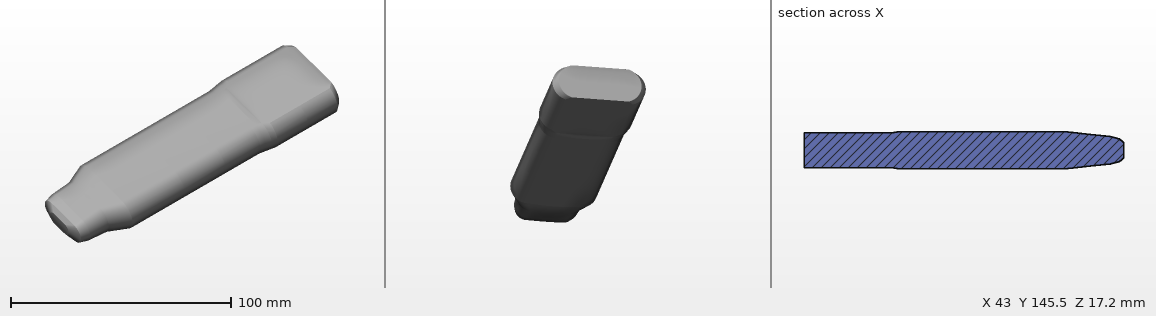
import cadquery as cq

length = 145.5

head_half_width = 21.5
head_half_flat = 15.5
head_half_height = 8.0
head_chamfer_length = 2.8
head_chamfer_width = 2.5
head_length = 37.0
head_seam = (head_chamfer_length + head_length) / 2

neck_start = 40.0
neck_start_half_width = 21.1
neck_start_half_flat = 13.1
neck_end = 43.0
neck_end_half_width = 20.5
neck_end_half_flat = 12.4

body_start = 45.7
body_seams = (65.8, 89.0)
body_end = 118.9
body_half_width = 20.1
body_half_flat = 12.1
body_edge_height = 8.0
body_crown_height = 8.6

nose_start = 128.9
nose_end = 139.1
bevel_length = 2.0
bevel_start = length - bevel_length
nose_crown = 0.1


def section(position, half_width, half_flat, edge_height, crown_height):
    """Closed outline of flat or crowned faces joined by rounded sides."""
    outline = cq.Workplane("XZ", origin=(0, -position, 0)).moveTo(-half_flat, edge_height)
    if crown_height > edge_height:
        outline = outline.threePointArc((0, crown_height), (half_flat, edge_height))
    else:
        outline = outline.lineTo(half_flat, edge_height)
    outline = outline.threePointArc((half_width, 0), (half_flat, -edge_height))
    if crown_height > edge_height:
        outline = outline.threePointArc((0, -crown_height), (-half_flat, -edge_height))
    else:
        outline = outline.lineTo(-half_flat, -edge_height)
    return outline.threePointArc((-half_width, 0), (-half_flat, edge_height)).close().val()


def head_section(position, inset=0.0):
    return section(
        position,
        head_half_width - inset,
        head_half_flat - inset,
        head_half_height,
        head_half_height,
    )


def body_section(position):
    return section(position, body_half_width, body_half_flat, body_edge_height, body_crown_height)


def nose_section(position, half_width, half_flat, crown_height):
    return section(position, half_width, half_flat, crown_height - nose_crown, crown_height)


head = [head_section(0, head_chamfer_width)]
head += [head_section(position) for position in (head_chamfer_length, head_seam, head_length)]

neck = [
    section(neck_start, neck_start_half_width, neck_start_half_flat, head_half_height, head_half_height),
    section(neck_end, neck_end_half_width, neck_end_half_flat, body_edge_height, body_crown_height),
]

body = [body_section(position) for position in (body_start, *body_seams, body_end)]

nose = [
    nose_section(nose_start, half_width=15.4, half_flat=8.6, crown_height=7.4),
    nose_section(nose_end, half_width=14.7, half_flat=8.5, crown_height=6.4),
    nose_section(bevel_start, half_width=13.5, half_flat=8.1, crown_height=5.2),
    nose_section(length, half_width=7.0, half_flat=4.5, crown_height=3.3),
]

handle = cq.Solid.makeLoft(head + neck + body + nose, True)
result = cq.Workplane("XY").newObject([handle])